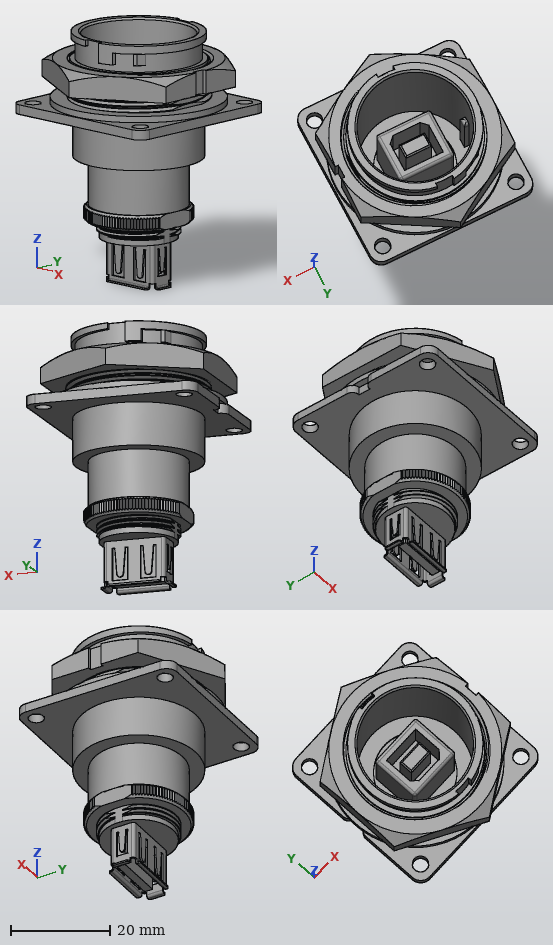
import cadquery as cq
import math


FLANGE_SIDE = 36.53
FLANGE_THICKNESS = 2.0
FLANGE_CORNER_RADIUS = 2.5
HOLE_SPACING = 30.2
HOLE_DIAMETER = 3.3
NOTCH_WIDTH = 2.72
NOTCH_DEPTH = 1.75
WASHER_RADIUS = 17.93
WASHER_THICKNESS = 1.3
WASHER_TOP = FLANGE_THICKNESS + WASHER_THICKNESS

BODY_RADIUS = 13.35
BODY_BOTTOM = -9.0
NECK_RADIUS = 10.22
NECK_BOTTOM = -19.0

COLLAR_RADIUS = 11.2
COLLAR_BOTTOM = NECK_BOTTOM - 3.25
COLLAR_CHAMFER = 0.65
KNURL_COUNT = 112
KNURL_DEPTH = 0.25

FLANK_SLOPE = math.tan(math.radians(30))
CREST_HALF_WIDTH = 0.1
THREAD_SINK = 0.1
PANEL_ROOT_RADIUS = 13.98
PANEL_CREST_RADIUS = 14.78
PANEL_PITCH = 1.3
PANEL_THREAD_START = 4.8
PANEL_FLAT_X = PANEL_ROOT_RADIUS + 0.02
TAIL_ROOT_RADIUS = 8.02
TAIL_CREST_RADIUS = 8.58
TAIL_PITCH = 1.06
TAIL_THREAD_START = -23.73
TAIL_THREAD_BOTTOM = COLLAR_BOTTOM - 2.4
TAIL_BOTTOM = COLLAR_BOTTOM - 3.6
TAIL_FLAT_X = 7.97

NUT_ACROSS_CORNERS = 40.33
NUT_ACROSS_FLATS = NUT_ACROSS_CORNERS * math.cos(math.radians(30))
NUT_BOTTOM = 6.35
NUT_HEIGHT = 4.92
NUT_TOP = NUT_BOTTOM + NUT_HEIGHT
NUT_MINOR_RADIUS = 14.45
NUT_MAJOR_RADIUS = 15.1
NUT_THREAD_START = PANEL_THREAD_START - 0.12
NUT_NOTCH_WIDTH = 2.85
NUT_NOTCH_DEPTH = 0.75

PANEL_THREAD_TOP = NUT_TOP - 0.6
BARREL_RADIUS = 12.88
BARREL_TOP = NUT_TOP + 5.58
RIM_RADIUS = 13.68
RIM_HEIGHT = 1.66
RIM_BOTTOM = BARREL_TOP - RIM_HEIGHT
RAMP_RISE = 0.46
RIM_GAP_WIDTH = 3.75
STOP_WIDTH = 3.12
STOP_BOTTOM = RIM_BOTTOM - 2.48
LUG_CORNERS = [(8.2, -9.8), (8.45, -10.3), (9.2, -10.0), (9.9, -8.2)]
BORE_RADIUS = 11.75
BORE_CHAMFER = 0.42
BORE_FLOOR = BODY_BOTTOM + 2.0
KEY_HALF_WIDTH = 0.95
KEY_INNER_X = -10.67
KEY_ROUNDING = 0.72

FLOOR_RECESS_RADIUS = 8.42
FLOOR_RECESS_DEPTH = 0.5
SOCKET_SIZE_X = 12.3
SOCKET_SIZE_Y = 11.0
SOCKET_TOP = 5.6
SOCKET_FILLET = 0.65
PORT_SIZE_X = 8.75
PORT_SIZE_Y = 7.7
PORT_CORNER = 1.3
PORT_DEPTH = 9.0
PORT_TONGUE_X = 5.8
PORT_TONGUE_Y = 3.15
PORT_TONGUE_CHAMFER = 0.33

SHELL_SIZE_X = 13.25
SHELL_SIZE_Y = 5.75
SHELL_WALL = 0.35
SHELL_CORNER_RADIUS = 0.72
SHELL_BOTTOM = TAIL_BOTTOM - 9.5
SHELL_CORNER_BOTTOM = SHELL_BOTTOM + 1.2
LIP_REACH = 0.85
LIP_BEND_RADIUS = 0.2
LIP_CORNER_RADIUS = 0.4
LONG_LIP_HALF_WIDTH = 5.65
SHORT_LIP_HALF_WIDTH = 1.9
WIDE_WINDOW_OFFSET_X = 3.02
WIDE_WINDOW_TOP = TAIL_BOTTOM - 1.5
WIDE_WINDOW_WIDTH = 3.32
WIDE_WINDOW_HEIGHT = 6.75
WIDE_FINGER_LENGTH = 6.1
WIDE_FINGER_ROOT = 1.12
WIDE_FINGER_TIP = 0.7
NARROW_WINDOW_TOP = TAIL_BOTTOM - 1.25
NARROW_WINDOW_WIDTH = 2.56
NARROW_WINDOW_HEIGHT = 5.7
NARROW_FINGER_LENGTH = 4.95
NARROW_FINGER_ROOT = 0.85
NARROW_FINGER_TIP = 0.55
PLUG_TONGUE_X = 11.0
PLUG_TONGUE_Y = 1.9
PLUG_TONGUE_LENGTH = 8.6


def cylinder(radius, bottom, top):
    return cq.Workplane("XY").workplane(offset=bottom).circle(radius).extrude(top - bottom)


def block(x_min, x_max, y_min, y_max, bottom, top):
    size = (x_max - x_min, y_max - y_min, top - bottom)
    return cq.Workplane("XY").box(*size, centered=False).translate((x_min, y_min, bottom))


def half_turn(shape):
    """The shape turned half a turn about the connector axis."""
    return shape.rotate((0, 0, 0), (0, 0, 1), 180)


def helical_sweep(profile_points, pitch, start, height):
    """Sweeps an (R, Z) outline up a right-handed helix from angle zero at height `start`."""
    radius = profile_points[0][0]
    path = cq.Workplane(cq.Wire.makeHelix(pitch, height, radius)).translate((0, 0, start))
    outline = [(r, z + start) for r, z in profile_points]
    return cq.Workplane("XZ").polyline(outline).close().sweep(path, isFrenet=True)


def thread_ridge(root, crest, pitch, start, bottom, top):
    """A helical 60 degree ridge that overruns `bottom` and `top` by at least a turn."""
    base = root - THREAD_SINK
    base_half_width = CREST_HALF_WIDTH + (crest - base) * FLANK_SLOPE
    profile = [
        (base, -base_half_width),
        (crest, -CREST_HALF_WIDTH),
        (crest, CREST_HALF_WIDTH),
        (base, base_half_width),
    ]
    first_turn = math.floor((bottom - start) / pitch) - 1
    last_turn = math.ceil((top - start) / pitch) + 1
    first_height = start + first_turn * pitch
    return helical_sweep(profile, pitch, first_height, (last_turn - first_turn) * pitch)


def threaded_rod(root, crest, pitch, start, bottom, top, ridge_flat=None):
    """A rod with a helical ridge; `ridge_flat` is a block taken off the ridge alone."""
    overrun = 3 * pitch
    ridge = thread_ridge(root, crest, pitch, start, bottom, top)
    if ridge_flat is not None:
        ridge = ridge.cut(ridge_flat)
    rod = cylinder(root, bottom - overrun, top + overrun).union(ridge)
    return rod.intersect(cylinder(crest + 1, bottom, top))


def make_flange():
    half = FLANGE_SIDE / 2
    flange = (
        cq.Workplane("XY")
        .rect(FLANGE_SIDE, FLANGE_SIDE)
        .extrude(FLANGE_THICKNESS)
        .edges("|Z")
        .fillet(FLANGE_CORNER_RADIUS)
        .faces(">Z")
        .workplane()
        .rect(HOLE_SPACING, HOLE_SPACING, forConstruction=True)
        .vertices()
        .hole(HOLE_DIAMETER)
    )
    floor_x = NOTCH_DEPTH - half
    mouth_y = NOTCH_WIDTH / 2 + NOTCH_DEPTH
    notch = (
        cq.Workplane("XY")
        .moveTo(-half, mouth_y)
        .radiusArc((floor_x, NOTCH_WIDTH / 2), -NOTCH_DEPTH)
        .lineTo(floor_x, -NOTCH_WIDTH / 2)
        .radiusArc((-half, -mouth_y), -NOTCH_DEPTH)
        .close()
        .extrude(FLANGE_THICKNESS)
    )
    return flange.cut(notch).union(cylinder(WASHER_RADIUS, FLANGE_THICKNESS, WASHER_TOP))


def make_collar():
    height = NECK_BOTTOM - COLLAR_BOTTOM
    points = []
    for index in range(2 * KNURL_COUNT):
        angle = math.pi * index / KNURL_COUNT
        radius = COLLAR_RADIUS - KNURL_DEPTH * (index % 2)
        points.append((radius * math.cos(angle), radius * math.sin(angle)))
    knurl = cq.Workplane("XY").workplane(offset=COLLAR_BOTTOM).polyline(points).close().extrude(height)
    envelope = cylinder(COLLAR_RADIUS, COLLAR_BOTTOM, NECK_BOTTOM).edges().chamfer(COLLAR_CHAMFER)
    flats = block(-NECK_RADIUS, NECK_RADIUS, -COLLAR_RADIUS, COLLAR_RADIUS, COLLAR_BOTTOM, NECK_BOTTOM)
    return knurl.intersect(envelope).intersect(flats)


def make_tail():
    thread = threaded_rod(
        TAIL_ROOT_RADIUS, TAIL_CREST_RADIUS, TAIL_PITCH, TAIL_THREAD_START, TAIL_THREAD_BOTTOM, COLLAR_BOTTOM
    )
    tail = thread.union(cylinder(TAIL_ROOT_RADIUS, TAIL_BOTTOM, TAIL_THREAD_BOTTOM))
    flats = block(
        -TAIL_FLAT_X, TAIL_FLAT_X, -TAIL_CREST_RADIUS, TAIL_CREST_RADIUS, TAIL_BOTTOM, COLLAR_BOTTOM
    )
    return tail.intersect(flats)


def make_panel_thread():
    reach = PANEL_CREST_RADIUS + 1
    flat = block(PANEL_FLAT_X, reach, -reach, reach, 0, BARREL_TOP)
    thread = threaded_rod(
        PANEL_ROOT_RADIUS,
        PANEL_CREST_RADIUS,
        PANEL_PITCH,
        PANEL_THREAD_START,
        WASHER_TOP,
        PANEL_THREAD_TOP,
        ridge_flat=flat,
    )
    return thread.union(cylinder(PANEL_ROOT_RADIUS, PANEL_THREAD_TOP, NUT_TOP))


def make_bayonet_rim():
    rim = cylinder(RIM_RADIUS, RIM_BOTTOM, BARREL_TOP)
    reach = RIM_RADIUS + 1
    ramp_profile = [(BARREL_RADIUS, 0), (reach, 0), (reach, -RIM_HEIGHT), (BARREL_RADIUS, -RIM_HEIGHT)]
    ramp_cut = helical_sweep(ramp_profile, 4 * RAMP_RISE, RIM_BOTTOM, RAMP_RISE)
    half_gap = RIM_GAP_WIDTH / 2
    gap = block(-half_gap, half_gap, -reach, reach, RIM_BOTTOM, BARREL_TOP)
    rim = rim.cut(ramp_cut).cut(half_turn(ramp_cut)).cut(gap)

    stop = cylinder(RIM_RADIUS, STOP_BOTTOM, RIM_BOTTOM).intersect(
        block(half_gap, half_gap + STOP_WIDTH, -reach, 0, STOP_BOTTOM, RIM_BOTTOM)
    )
    lug = (
        cq.Workplane("XY")
        .workplane(offset=STOP_BOTTOM)
        .polyline(LUG_CORNERS)
        .close()
        .extrude(RIM_BOTTOM - STOP_BOTTOM)
    )
    for feature in (stop, lug):
        rim = rim.union(feature).union(half_turn(feature))
    return rim


def make_bore():
    bore = cylinder(BORE_RADIUS, BORE_FLOOR, BARREL_TOP)
    mouth = (
        cq.Workplane("XY")
        .workplane(offset=BARREL_TOP)
        .circle(BORE_RADIUS + BORE_CHAMFER)
        .extrude(-BORE_CHAMFER, taper=45)
    )
    recess = cylinder(FLOOR_RECESS_RADIUS, BORE_FLOOR - FLOOR_RECESS_DEPTH, BORE_FLOOR)
    return bore.union(mouth).union(recess)


def make_bore_key():
    """A polarising rib on the -X wall of the bore, its free top edges rounded."""
    wall_x = -(BORE_RADIUS + BARREL_RADIUS) / 2
    key = block(wall_x, KEY_INNER_X, -KEY_HALF_WIDTH, KEY_HALF_WIDTH, BORE_FLOOR, SOCKET_TOP)
    return key.edges(">Z and (not <X)").fillet(KEY_ROUNDING)


def make_usb_b_socket():
    bottom = BORE_FLOOR - FLOOR_RECESS_DEPTH
    socket = (
        cq.Workplane("XY")
        .workplane(offset=bottom)
        .rect(SOCKET_SIZE_X, SOCKET_SIZE_Y)
        .extrude(SOCKET_TOP - bottom)
        .edges("|Z or >Z")
        .fillet(SOCKET_FILLET)
    )
    port = (
        cq.Workplane("XY")
        .workplane(offset=SOCKET_TOP)
        .rect(PORT_SIZE_X, PORT_SIZE_Y)
        .extrude(-PORT_DEPTH)
        .edges("|Z and <Y")
        .chamfer(PORT_CORNER)
    )
    tongue = (
        cq.Workplane("XY")
        .workplane(offset=SOCKET_TOP - PORT_DEPTH)
        .rect(PORT_TONGUE_X, PORT_TONGUE_Y)
        .extrude(PORT_DEPTH)
        .faces(">Z")
        .chamfer(PORT_TONGUE_CHAMFER)
    )
    return socket.cut(port).union(tongue)


def spring_window(top, width, height, finger_length, finger_root, finger_tip):
    """A window through both walls, centred on X = 0, less the round-ended finger hanging in it."""
    window = cq.Workplane("XZ").center(0, top - height / 2).rect(width, height)
    window = window.extrude(SHELL_SIZE_X, both=True)
    tip_bottom = top - finger_length
    tip_start = tip_bottom + finger_tip
    finger = (
        cq.Workplane("XZ")
        .moveTo(-finger_root, top)
        .lineTo(-finger_tip, tip_start)
        .threePointArc((0, tip_bottom), (finger_tip, tip_start))
        .lineTo(finger_root, top)
        .close()
        .extrude(SHELL_SIZE_X, both=True)
    )
    return window.cut(finger)


def bent_lip(half_size, half_width):
    """The lower strip of the wall at X = half_size, bent outward into a round-cornered lip."""
    outside = half_size
    inside = half_size - SHELL_WALL
    edge = half_size + LIP_REACH
    outer_radius = LIP_BEND_RADIUS + SHELL_WALL
    lip_top = SHELL_BOTTOM + SHELL_WALL
    return (
        cq.Workplane("XZ")
        .moveTo(inside, SHELL_CORNER_BOTTOM)
        .lineTo(inside, SHELL_BOTTOM + outer_radius)
        .radiusArc((inside + outer_radius, SHELL_BOTTOM), -outer_radius)
        .lineTo(edge, SHELL_BOTTOM)
        .lineTo(edge, lip_top)
        .lineTo(outside + LIP_BEND_RADIUS, lip_top)
        .radiusArc((outside, lip_top + LIP_BEND_RADIUS), LIP_BEND_RADIUS)
        .lineTo(outside, SHELL_CORNER_BOTTOM)
        .close()
        .extrude(half_width, both=True)
        .faces(">X")
        .edges("|Z")
        .fillet(LIP_CORNER_RADIUS)
    )


def make_usb_a_shell():
    height = TAIL_BOTTOM - SHELL_CORNER_BOTTOM
    inner_x = SHELL_SIZE_X - 2 * SHELL_WALL
    inner_y = SHELL_SIZE_Y - 2 * SHELL_WALL
    base = cq.Workplane("XY").workplane(offset=SHELL_CORNER_BOTTOM)
    outer = base.rect(SHELL_SIZE_X, SHELL_SIZE_Y).extrude(height).edges("|Z").fillet(SHELL_CORNER_RADIUS)
    inner = base.rect(inner_x, inner_y).extrude(height)
    inner = inner.edges("|Z").fillet(SHELL_CORNER_RADIUS - SHELL_WALL)
    shell = outer.cut(inner)

    wide_window = spring_window(
        WIDE_WINDOW_TOP,
        WIDE_WINDOW_WIDTH,
        WIDE_WINDOW_HEIGHT,
        WIDE_FINGER_LENGTH,
        WIDE_FINGER_ROOT,
        WIDE_FINGER_TIP,
    )
    for offset in (-WIDE_WINDOW_OFFSET_X, WIDE_WINDOW_OFFSET_X):
        shell = shell.cut(wide_window.translate((offset, 0, 0)))
    narrow_window = spring_window(
        NARROW_WINDOW_TOP,
        NARROW_WINDOW_WIDTH,
        NARROW_WINDOW_HEIGHT,
        NARROW_FINGER_LENGTH,
        NARROW_FINGER_ROOT,
        NARROW_FINGER_TIP,
    )
    shell = shell.cut(narrow_window.rotate((0, 0, 0), (0, 0, 1), 90))

    short_lip = bent_lip(SHELL_SIZE_X / 2, SHORT_LIP_HALF_WIDTH)
    long_lip = bent_lip(SHELL_SIZE_Y / 2, LONG_LIP_HALF_WIDTH).rotate((0, 0, 0), (0, 0, 1), 90)
    for lip in (short_lip, long_lip):
        shell = shell.union(lip).union(half_turn(lip))

    tongue_bottom = TAIL_BOTTOM - PLUG_TONGUE_LENGTH
    half_tongue = PLUG_TONGUE_X / 2
    tongue = block(-half_tongue, half_tongue, -PLUG_TONGUE_Y, 0, tongue_bottom, TAIL_BOTTOM)
    return shell.union(tongue)


def make_connector():
    return (
        make_flange()
        .union(cylinder(BODY_RADIUS, BODY_BOTTOM, 0))
        .union(cylinder(NECK_RADIUS, NECK_BOTTOM, BODY_BOTTOM))
        .union(make_panel_thread())
        .union(cylinder(BARREL_RADIUS, NUT_TOP, BARREL_TOP))
        .union(make_bayonet_rim())
        .cut(make_bore())
        .union(make_bore_key())
        .union(make_usb_b_socket())
        .union(make_collar())
        .union(make_tail())
        .union(make_usb_a_shell())
    )


def make_panel_nut():
    base = cq.Workplane("XY").workplane(offset=NUT_BOTTOM)
    nut = base.polygon(6, NUT_ACROSS_CORNERS).extrude(NUT_HEIGHT).rotate((0, 0, 0), (0, 0, 1), 30)
    top_radius = NUT_ACROSS_FLATS / 2
    corner_radius = NUT_ACROSS_CORNERS / 2
    shoulder = NUT_TOP - (corner_radius - top_radius) * FLANK_SLOPE
    envelope = (
        cq.Workplane("XZ")
        .moveTo(0, NUT_BOTTOM)
        .lineTo(corner_radius, NUT_BOTTOM)
        .lineTo(corner_radius, shoulder)
        .lineTo(top_radius, NUT_TOP)
        .lineTo(0, NUT_TOP)
        .close()
        .revolve(360, (0, 0), (0, 1))
    )
    half_notch = NUT_NOTCH_WIDTH / 2
    notch = block(top_radius - NUT_NOTCH_DEPTH, corner_radius, -half_notch, half_notch, NUT_BOTTOM, NUT_TOP)
    tap = threaded_rod(
        NUT_MINOR_RADIUS, NUT_MAJOR_RADIUS, PANEL_PITCH, NUT_THREAD_START, NUT_BOTTOM, NUT_TOP
    )
    return nut.intersect(envelope).cut(notch).cut(tap)


connector = make_connector()
panel_nut = make_panel_nut()
result = cq.Compound.makeCompound([connector.val(), panel_nut.val()])